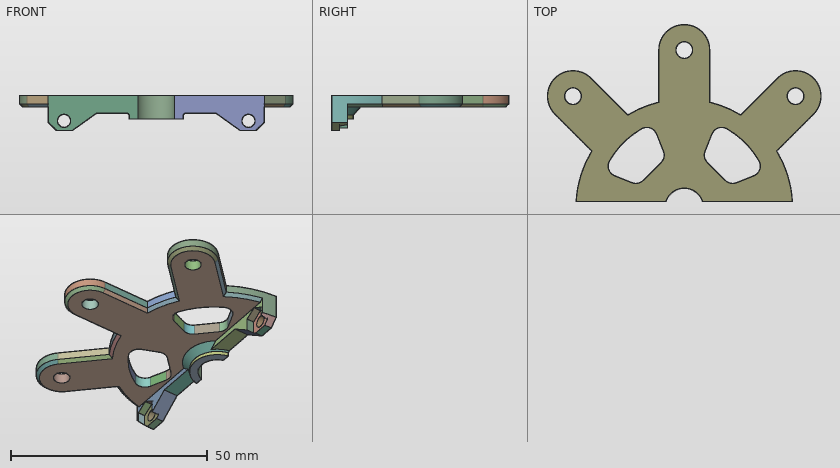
import cadquery as cq
import math

width = 69.5
depth = 45.0
lug_pitch_radius = 40.0
lug_angles = (45, 90, 135)
lug_radius = width / 2 - lug_pitch_radius * math.cos(math.radians(lug_angles[0]))
lug_width = 2 * lug_radius
lug_hole_diameter = 4.2
disc_center_y = depth - lug_radius - lug_pitch_radius
disc_radius = 27.5
plate_thickness = 3.0
bottom_chamfer = 0.8

wall_thickness = 4.0
wall_height = 9.0
wall_web_height = 4.6
web_end_x = 15.2
tab_inner_x = 21.35
tab_outer_chamfer = 2.1
tab_hole_x = 23.4
tab_hole_z = -6.5
tab_hole_diameter = 3.3
nut_width = 6.0
nut_floor_y = 2.0

notch_radius = 4.9
hub_radius = 7.0
hub_height = 6.05
cone_end_height = 5.0
cone_top_radius = 8.8

window_center_y = -0.5
window_angle = 45
window_half_angle = 23.2
window_outer_radius = 21.8
window_inner_distance = 11.55
window_corner_radius = 2.65


def polar(radius, angle, center_y):
    """Point at a radius and an angle in degrees about (0, center_y)."""
    turn = math.radians(angle)
    return (radius * math.cos(turn), center_y + radius * math.sin(turn))


def cylinder(radius, height, center_y):
    """Vertical cylinder hanging from the top face."""
    return cq.Workplane("XY").center(0, center_y).circle(radius).extrude(-height)


def front_half_space():
    """Block covering everything in front of Y = 0."""
    size = 2 * depth
    return cq.Workplane("XY").box(2 * size, size, size).translate((0, -size / 2, 0))


def make_lug(angle):
    lug = (
        cq.Workplane("XY")
        .center(lug_pitch_radius / 2, 0)
        .rect(lug_pitch_radius, lug_width)
        .extrude(-plate_thickness)
    )
    tip = cq.Workplane("XY").center(lug_pitch_radius, 0).circle(lug_radius).extrude(-plate_thickness)
    return lug.union(tip).rotate((0, 0, 0), (0, 0, 1), angle).translate((0, disc_center_y, 0))


def make_plate():
    plate = cylinder(disc_radius, plate_thickness, disc_center_y)
    for angle in lug_angles:
        plate = plate.union(make_lug(angle))
    return plate.faces("<Z").edges().chamfer(bottom_chamfer)


def make_wall():
    edge_x = disc_radius
    right_half = [
        (web_end_x, -wall_web_height),
        (tab_inner_x, -wall_height),
        (edge_x, -wall_height),
        (edge_x, 0),
    ]
    left_half = [(-x, z) for x, z in reversed(right_half)]
    wall = cq.Workplane("XZ").polyline(right_half + left_half).close().extrude(-wall_thickness)
    rim = cylinder(disc_radius, wall_height, disc_center_y).faces("<Z").chamfer(tab_outer_chamfer)
    return wall.intersect(rim)


def make_hub():
    cone_height = cone_end_height - plate_thickness
    cone = (
        cq.Workplane("XY", origin=(0, disc_center_y, -plate_thickness))
        .circle(cone_top_radius)
        .workplane(offset=-cone_height)
        .circle(hub_radius)
        .loft()
    )
    return cylinder(hub_radius, hub_height, disc_center_y).union(cone)


def make_tab_cut(x):
    """Bolt hole plus a hexagonal nut pocket that is open at the bottom."""
    hole = (
        cq.Workplane("XZ", origin=(x, 0, tab_hole_z))
        .circle(tab_hole_diameter / 2)
        .extrude(-wall_thickness)
    )
    shoulder = nut_width / 2 * math.tan(math.radians(30))
    pocket = (
        cq.Workplane("XZ", origin=(x, nut_floor_y, tab_hole_z))
        .moveTo(-nut_width / 2, -wall_height)
        .lineTo(-nut_width / 2, shoulder)
        .lineTo(0, 2 * shoulder)
        .lineTo(nut_width / 2, shoulder)
        .lineTo(nut_width / 2, -wall_height)
        .close()
        .extrude(nut_floor_y - wall_thickness)
    )
    return hole.union(pocket)


def make_window():
    start_angle = window_angle - window_half_angle
    end_angle = window_angle + window_half_angle
    inner_radius = window_inner_distance / math.cos(math.radians(window_half_angle))
    return (
        cq.Workplane("XY")
        .moveTo(*polar(inner_radius, start_angle, window_center_y))
        .lineTo(*polar(window_outer_radius, start_angle, window_center_y))
        .threePointArc(
            polar(window_outer_radius, window_angle, window_center_y),
            polar(window_outer_radius, end_angle, window_center_y),
        )
        .lineTo(*polar(inner_radius, end_angle, window_center_y))
        .close()
        .extrude(-plate_thickness)
        .edges("|Z")
        .fillet(window_corner_radius)
    )


result = make_plate().union(make_wall()).union(make_hub())
result = result.cut(front_half_space())
result = result.cut(cylinder(notch_radius, wall_height, disc_center_y))

for angle in lug_angles:
    hole_x, hole_y = polar(lug_pitch_radius, angle, disc_center_y)
    hole = cq.Workplane("XY").center(hole_x, hole_y).circle(lug_hole_diameter / 2).extrude(-plate_thickness)
    result = result.cut(hole)

for side in (-1, 1):
    result = result.cut(make_tab_cut(side * tab_hole_x))

window = make_window()
result = result.cut(window).cut(window.mirror("YZ"))